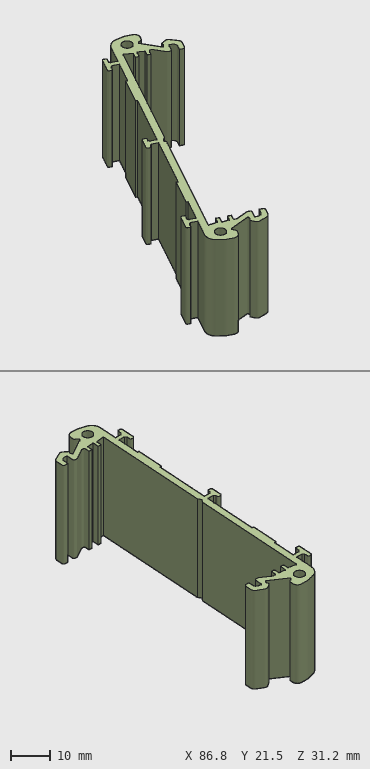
import cadquery as cq
import math

width = 86.8
depth = 21.5
length = 31.25
half_width = width / 2

plate_bottom = 3.65
plate_thickness = 2.1
plate_top = plate_bottom + plate_thickness

foot_stem_width = 1.3
foot_flange_thickness = 1.3
foot_lower_round = 0.4
foot_upper_round = 0.3
foot_chamfer = 0.4
side_foot_x = 33.5
side_foot_width = 4.95
middle_foot_width = 3.9

pad_inner_x = 17.4
pad_width = 8.5
pad_height = 0.5

groove_width = 1.9
groove_v_depth = 0.7
groove_radius = 0.35

screw_hole_diameter = 3.0
screw_hole_x = 39.9
screw_hole_y = 7.9
lobe_top = 12.0
tooth_tip_x = 34.4
tooth_thickness = 1.0
lower_tooth_bottom = 8.3
lower_tooth_top = lower_tooth_bottom + tooth_thickness
upper_tooth_bottom = 11.5
upper_tooth_top = upper_tooth_bottom + tooth_thickness
wall_inner_x = 36.45
hook_mouth_x = 34.1
lip_bottom = 20.0
slot_bottom = 18.0
slot_end_x = 36.7

wall_corners = [
    (wall_inner_x, plate_bottom, 0),
    (42.1, plate_bottom, 2.95),
    (half_width, 8.3, 3.3),
    (half_width, lobe_top, 1.6),
    (40.7, lobe_top, 0.35),
    (39.75, 10.6, 0.35),
    (36.3, 16.3, 0.2),
    (37.15, 16.7, 0.3),
    (37.8, 16.3, 0.2),
    (39.1, 18.1, 1.0),
    (37.3, depth, 1.4),
    (hook_mouth_x, depth, 0.6),
    (hook_mouth_x, lip_bottom, 0),
    (slot_end_x, lip_bottom, 1.2),
    (slot_end_x, slot_bottom, 0),
    (hook_mouth_x, slot_bottom, 0.4),
    (hook_mouth_x, 16.75, 0.3),
    (36.1, 13.45, 0.3),
    (36.1, upper_tooth_top, 0.35),
    (tooth_tip_x, upper_tooth_top, 0),
    (tooth_tip_x, upper_tooth_bottom, 0),
    (36.0, upper_tooth_bottom, 0),
    (36.3, lower_tooth_top, 0),
    (tooth_tip_x, lower_tooth_top, 0),
    (tooth_tip_x, lower_tooth_bottom, 0),
    (36.0, lower_tooth_bottom, 0),
    (wall_inner_x, plate_top, 0),
]


def rounded_outline(corners):
    """Closed wire through the corners, each rounded by its own tangent arc."""
    count = len(corners)
    outline = None
    for i in range(count):
        x, y, radius = corners[i]
        corner = cq.Vector(x, y)
        to_previous = (cq.Vector(*corners[i - 1][:2]) - corner).normalized()
        to_next = (cq.Vector(*corners[(i + 1) % count][:2]) - corner).normalized()
        half_angle = to_previous.getAngle(to_next) / 2
        setback = radius / math.tan(half_angle)
        start = corner + to_previous * setback
        if outline is None:
            outline = cq.Workplane("XY").moveTo(start.x, start.y)
        else:
            outline = outline.lineTo(start.x, start.y)
        if radius > 0:
            bisector = (to_previous + to_next).normalized()
            middle = corner + bisector * (radius / math.sin(half_angle) - radius)
            end = corner + to_next * setback
            outline = outline.threePointArc((middle.x, middle.y), (end.x, end.y))
    return outline.close()


def block(x_min, x_max, y_min, y_max):
    """Full-length block over a rectangle of the profile."""
    solid = cq.Workplane("XY").box(x_max - x_min, y_max - y_min, length, centered=False)
    return solid.translate((x_min, y_min, 0))


def foot(x, flange_width):
    """T-shaped foot hanging from the plate, with chamfers where stem meets flange."""
    half_flange = flange_width / 2
    half_stem = foot_stem_width / 2
    right_side = [
        (half_flange, 0, foot_lower_round),
        (half_flange, foot_flange_thickness, foot_upper_round),
        (half_stem + foot_chamfer, foot_flange_thickness, 0),
        (half_stem, foot_flange_thickness + foot_chamfer, 0),
        (half_stem, plate_top - plate_thickness / 2, 0),
    ]
    left_side = [(-px, py, radius) for px, py, radius in reversed(right_side)]
    return rounded_outline(right_side + left_side).extrude(length).translate((x, 0, 0))


def right_half():
    """Everything beyond the middle foot on the +X side."""
    half = block(0, wall_inner_x, plate_bottom, plate_top)
    half = half.union(rounded_outline(wall_corners).extrude(length))
    half = half.union(block(pad_inner_x, pad_inner_x + pad_width, plate_bottom - pad_height, plate_top))
    half = half.union(foot(side_foot_x, side_foot_width))
    screw_hole = cq.Workplane("XY").center(screw_hole_x, screw_hole_y).circle(screw_hole_diameter / 2)
    return half.cut(screw_hole.extrude(length))


def groove():
    """V-shaped cutter with a rounded bottom for the alignment groove."""
    half_groove = groove_width / 2
    corners = [
        (-half_groove, plate_top, 0),
        (0, plate_top - groove_v_depth, groove_radius),
        (half_groove, plate_top, 0),
    ]
    return rounded_outline(corners).extrude(length)


right = right_half()
result = right.union(right.mirror("YZ")).union(foot(0, middle_foot_width)).cut(groove()).clean()